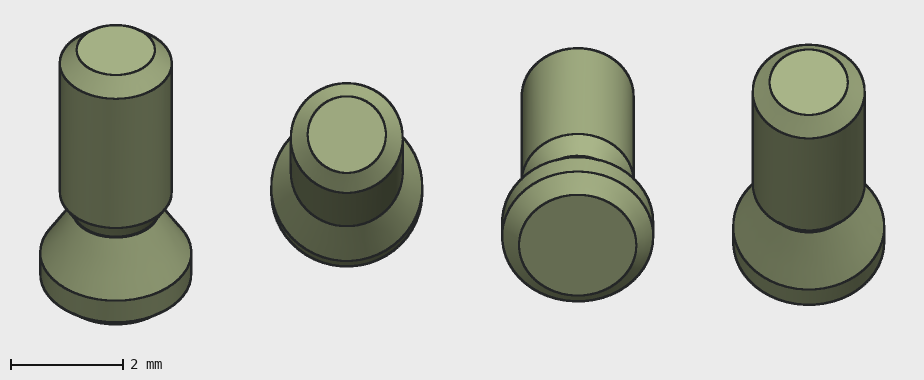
import cadquery as cq
import math

total_height = 5.5
head_diameter = 2.7
shank_diameter = 2.0
neck_diameter = 1.555
chamfer = 0.3
head_rim_top = 0.805
shank_bottom = 2.2
cone_half_angle = 30.0

head_radius = head_diameter / 2
shank_radius = shank_diameter / 2
neck_radius = neck_diameter / 2

cone_slope = math.tan(math.radians(cone_half_angle))
neck_bottom = head_rim_top + (head_radius - neck_radius) / cone_slope
neck_top = shank_bottom - (shank_radius - neck_radius) / cone_slope

half_profile = [
    (0, 0),
    (head_radius - chamfer, 0),
    (head_radius, chamfer),
    (head_radius, head_rim_top),
    (neck_radius, neck_bottom),
    (neck_radius, neck_top),
    (shank_radius, shank_bottom),
    (shank_radius, total_height - chamfer),
    (shank_radius - chamfer, total_height),
    (0, total_height),
]

result = cq.Workplane("XZ").polyline(half_profile).close().revolve(360, (0, 0, 0), (0, 1, 0))